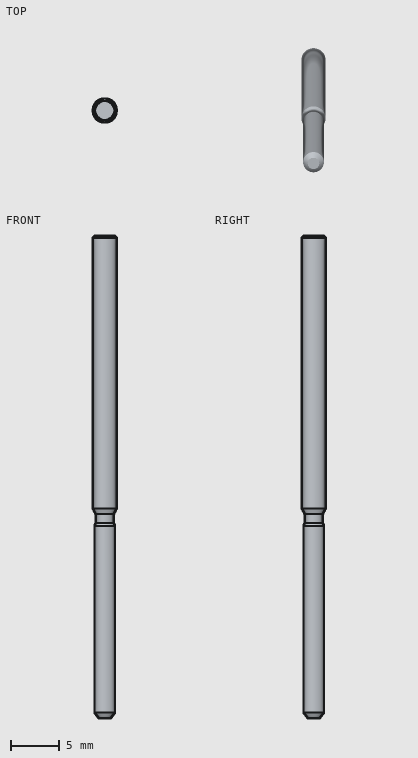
import cadquery as cq

total_length = 50.0

rod_radius = 1.25
rod_top_radius = 1.0
rod_bottom_z = 21.15
rod_top_taper = 0.25
rod_bottom_taper = 0.6

pin_diameter = 2.15
pin_radius = pin_diameter / 2
neck_radius = 0.95
neck_bottom_z = 20.25
neck_taper = 0.3
tip_radius = 0.6
tip_height = 0.6


def turned_body(profile):
    """Revolve an outline of (radius, height) points, closed on the Z axis."""
    bottom_z = profile[0][1]
    top_z = profile[-1][1]
    outline = [(0, bottom_z), *profile, (0, top_z)]
    return cq.Workplane("XZ").polyline(outline).close().revolve(360, (0, 0), (0, 1))


def make_rod():
    return turned_body([
        (neck_radius, rod_bottom_z),
        (rod_radius, rod_bottom_z + rod_bottom_taper),
        (rod_radius, total_length - rod_top_taper),
        (rod_top_radius, total_length),
    ])


def make_pin():
    return turned_body([
        (tip_radius, 0),
        (pin_radius, tip_height),
        (pin_radius, neck_bottom_z - neck_taper),
        (neck_radius, neck_bottom_z),
        (neck_radius, rod_bottom_z),
    ])


rod = make_rod()
pin = make_pin()

result = cq.Compound.makeCompound([rod.val(), pin.val()])